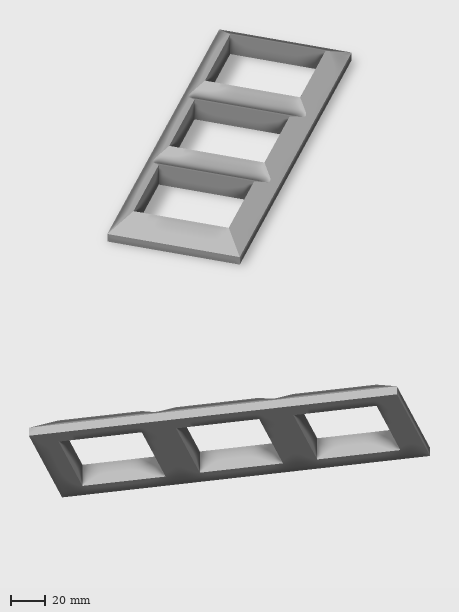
import cadquery as cq

length = 222.5
width = 81.5
height = 14.0
rim_height = 5.3

window_count = 3
window_size_x = 58.5
window_size_y = 50.3
window_pitch = 71.0

valley_floor_sag = 0.5
valley_floor_width = 4.7

slope_run_x = (width - window_size_x) / 2
row_length = (window_count - 1) * window_pitch + window_size_y
slope_run_y = (length - row_length) / 2
slope_rise = height - rim_height
slope_gradient = slope_rise / slope_run_y


def centred_positions(count):
    """Y positions of a row spaced by the window pitch, centred on the part."""
    return [(i - (count - 1) / 2) * window_pitch for i in range(count)]


def make_body():
    """Solid plate with a sloping border: a side profile trimmed by an end profile."""
    def sloped_profile(plane, base, run, depth):
        half = base / 2
        return (
            cq.Workplane(plane)
            .polyline([
                (-half, 0),
                (half, 0),
                (half, rim_height),
                (half - run, height),
                (-half + run, height),
                (-half, rim_height),
            ])
            .close()
            .extrude(depth / 2, both=True)
        )

    along_length = sloped_profile("YZ", length, slope_run_y, width)
    across_width = sloped_profile("XZ", width, slope_run_x, length)
    return along_length.intersect(across_width)


def make_valley(y):
    """Cutter for a valley as steep as the end faces, with a shallow round bottom."""
    half_opening = (window_pitch - window_size_y) / 2
    arc_half = valley_floor_width / 2
    arc_end_z = height - slope_gradient * (half_opening - arc_half)
    return (
        cq.Workplane("YZ")
        .moveTo(y - half_opening, height)
        .lineTo(y - arc_half, arc_end_z)
        .threePointArc((y, arc_end_z - valley_floor_sag), (y + arc_half, arc_end_z))
        .lineTo(y + half_opening, height)
        .close()
        .extrude(width / 2, both=True)
    )


result = make_body()

for y in centred_positions(window_count - 1):
    result = result.cut(make_valley(y))

for y in centred_positions(window_count):
    window = cq.Workplane("XY").center(0, y).rect(window_size_x, window_size_y).extrude(height)
    result = result.cut(window)